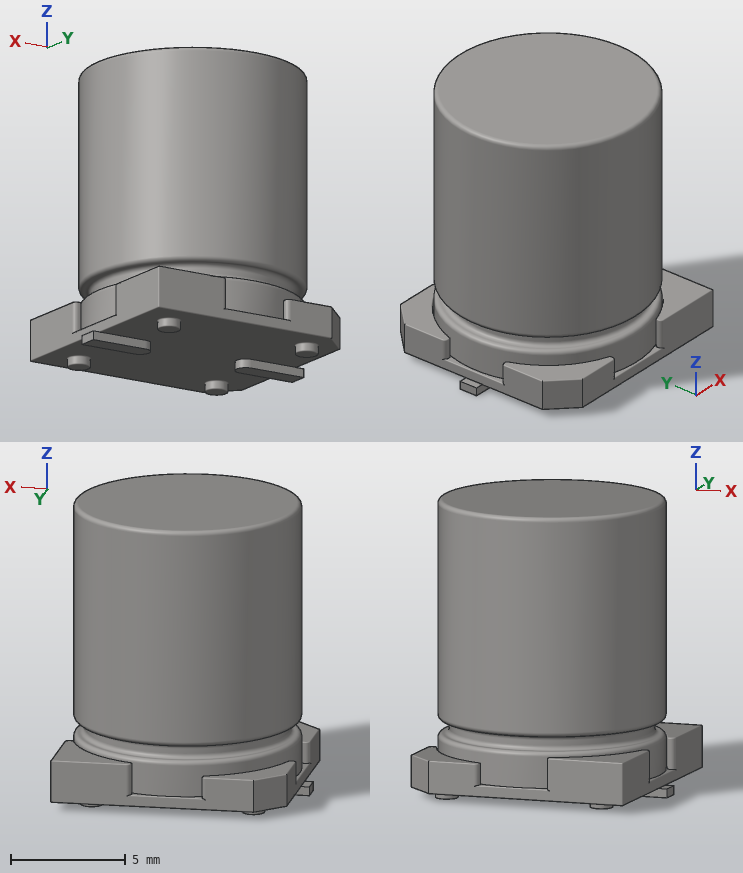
import cadquery as cq

total_height = 12.9
length_over_leads = 11.0
base_side = 10.3

standoff = 0.4
floor_z = 0.9
low_post_top_z = 1.86
high_post_top_z = 2.3
corner_bevel = 1.25
notch_width = 3.15
post_outer_rounding = 0.19
post_inner_rounding = 0.1
edge_rounding = 0.05

can_radius = 10.0 / 2
neck_radius = 9.0 / 2
can_clearance = 0.05
can_top_rounding = 0.2
groove_start_z = 2.3
groove_round = 0.2
neck_height = 0.23

foot_diameter = 1.0
foot_offset = 3.6
lead_width = 0.93
lead_inner_x = 2.3

half_base = base_side / 2
half_notch = notch_width / 2


def make_plate():
    """Square plate with the two -X corners bevelled."""
    plate = cq.Workplane("XY", origin=(0, 0, standoff)).rect(base_side, base_side).extrude(floor_z - standoff)
    plate = plate.edges("|Z and <X").chamfer(corner_bevel)
    plate = plate.edges("|Z and >X").fillet(edge_rounding)
    return plate.faces("<Z or >Z").edges().fillet(edge_rounding)


def make_post(top_z, bevelled):
    """Corner post in the +X +Y quadrant, hollowed to clear the can.

    It starts below the rounded top edge of the plate so that its outer faces run into the plate sides.
    """
    bottom_z = floor_z - edge_rounding
    post_side = half_base - half_notch
    post = (
        cq.Workplane("XY", origin=(half_notch, half_notch, bottom_z))
        .rect(post_side, post_side, centered=False)
        .extrude(top_z - bottom_z)
    )
    can_space = cq.Workplane("XY", origin=(0, 0, bottom_z)).circle(can_radius + can_clearance)
    post = post.cut(can_space.extrude(total_height))

    corner = post.edges("|Z and >(1, 1, 0)")
    post = corner.chamfer(corner_bevel) if bevelled else corner.fillet(edge_rounding)

    for direction in ("X", "Y"):
        notch_wall = post.faces(f"<{direction}")
        outer_direction = "Y" if direction == "X" else "X"
        post = notch_wall.edges(f"|Z and >{outer_direction}").fillet(post_outer_rounding)
        notch_wall = post.faces(f"<{direction}")
        post = notch_wall.edges(f"|Z and <{outer_direction}").fillet(post_inner_rounding)
    return post.faces(">Z").edges().fillet(edge_rounding)


def make_can():
    """Turned can with a rounded top rim and a groove with S-shaped flanks."""
    lip_radius = can_radius - groove_round
    root_radius = neck_radius + groove_round
    lower_flank_z = groove_start_z + groove_round
    neck_bottom_z = lower_flank_z + groove_round
    neck_top_z = neck_bottom_z + neck_height
    upper_flank_z = neck_top_z + groove_round
    groove_end_z = upper_flank_z + groove_round
    profile = (
        cq.Workplane("XZ")
        .moveTo(0, floor_z)
        .lineTo(can_radius, floor_z)
        .lineTo(can_radius, groove_start_z)
        .radiusArc((lip_radius, lower_flank_z), -groove_round)
        .lineTo(root_radius, lower_flank_z)
        .radiusArc((neck_radius, neck_bottom_z), groove_round)
        .lineTo(neck_radius, neck_top_z)
        .radiusArc((root_radius, upper_flank_z), groove_round)
        .lineTo(lip_radius, upper_flank_z)
        .radiusArc((can_radius, groove_end_z), -groove_round)
        .lineTo(can_radius, total_height)
        .lineTo(0, total_height)
        .close()
    )
    can = profile.revolve(360, (0, 0), (0, 1))
    return can.faces(">Z").edges().fillet(can_top_rounding)


def add_feet(plate):
    """Four round feet under the plate, rounded at the tip and blended into the plate at the root."""
    spacing = 2 * foot_offset
    feet = cq.Workplane("XY").rarray(spacing, spacing, 2, 2).circle(foot_diameter / 2).extrude(standoff)
    feet = feet.faces("<Z").edges().fillet(edge_rounding)
    footed_plate = plate.union(feet)
    root_edges = footed_plate.faces(cq.selectors.NearestToPointSelector((0, 0, standoff))).edges("%CIRCLE")
    return root_edges.fillet(edge_rounding)


def make_lead():
    """Flat lead on the +X side with a round inner end."""
    end_radius = lead_width / 2
    outer_x = length_over_leads / 2
    lead = (
        cq.Workplane("XY")
        .moveTo(outer_x, -end_radius)
        .lineTo(outer_x, end_radius)
        .lineTo(lead_inner_x + end_radius, end_radius)
        .threePointArc((lead_inner_x, 0), (lead_inner_x + end_radius, -end_radius))
        .close()
    )
    return lead.extrude(standoff)


def turned(shape, angle):
    """Copy of a shape turned about the can axis."""
    return shape.rotate((0, 0, 0), (0, 0, 1), angle)


result = add_feet(make_plate()).union(make_can())
high_post = make_post(high_post_top_z, bevelled=False)
low_post = make_post(low_post_top_z, bevelled=True)
for post, angle in ((high_post, 0), (low_post, 90), (low_post, 180), (high_post, 270)):
    result = result.union(turned(post, angle))
for angle in (0, 180):
    result = result.union(turned(make_lead(), angle))